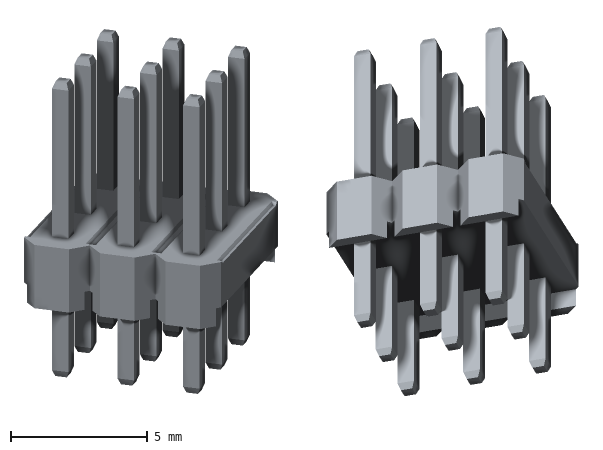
import cadquery as cq


columns = 3
rows = 3
pitch = 2.54

housing_width = columns * pitch
housing_depth = rows * pitch
corner_chamfer = 0.6

overall_height = 11.6
housing_height = 2.49
tail_length = 3.0
pin_top = overall_height - tail_length

foot_height = 0.71
foot_side_inset = 0.15
foot_depth = corner_chamfer - foot_side_inset

pin_size = 0.64
tip_inset = 0.1
tip_height = 0.25

groove_floor_width = 0.2
groove_floor_length = 6.0
groove_depth = 0.1


def grid_positions(count):
    """Centres of count cells spaced one pitch apart about zero."""
    return [(i - (count - 1) / 2) * pitch for i in range(count)]


def frustum(bottom_size, top_size, height):
    """Solid with a rectangular base at Z = 0 that changes evenly to another rectangle."""
    return (
        cq.Workplane("XY")
        .rect(*bottom_size)
        .workplane(offset=height)
        .rect(*top_size)
        .loft(ruled=True)
    )


def make_column(x):
    """One housing column: a full-depth octagonal block with its four upright corners chamfered."""
    return (
        cq.Workplane("XY")
        .box(pitch, housing_depth, housing_height, centered=(True, True, False))
        .edges("|Z")
        .chamfer(corner_chamfer)
        .translate((x, 0, 0))
    )


def make_underside_cutters():
    """Blocks that raise the underside, leaving two feet on every column."""
    between_feet = cq.Workplane("XY").box(
        housing_width, housing_depth - 2 * foot_depth, foot_height, centered=(True, True, False)
    )
    cutters = [between_feet]
    for i in range(columns + 1):
        channel = cq.Workplane("XY").box(
            2 * foot_side_inset, housing_depth, foot_height, centered=(True, True, False)
        )
        cutters.append(channel.translate((i * pitch - housing_width / 2, 0, 0)))
    return cutters


def make_groove_cutters():
    """Shallow grooves along the column boundaries; the outermost two are cut open at the sides."""
    floor_size = (groove_floor_width, groove_floor_length)
    mouth_size = (groove_floor_width + 2 * groove_depth, groove_floor_length + 2 * groove_depth)
    groove = frustum(floor_size, mouth_size, groove_depth)
    return [
        groove.translate((i * pitch - housing_width / 2, 0, housing_height - groove_depth))
        for i in range(columns + 1)
    ]


def make_pin():
    """Square pin with a tapered tip at each end."""
    shank_length = overall_height - 2 * tip_height
    full_size = (pin_size, pin_size)
    end_size = (pin_size - 2 * tip_inset, pin_size - 2 * tip_inset)
    shank = cq.Workplane("XY").box(*full_size, shank_length, centered=(True, True, False))
    upper_tip = frustum(full_size, end_size, tip_height)
    lower_tip = frustum(end_size, full_size, tip_height)
    return (
        shank.translate((0, 0, tip_height - tail_length))
        .union(upper_tip.translate((0, 0, pin_top - tip_height)))
        .union(lower_tip.translate((0, 0, -tail_length)))
    )


result = cq.Workplane("XY")
for column_x in grid_positions(columns):
    result = result.union(make_column(column_x))
result = result.clean()

for cutter in make_underside_cutters() + make_groove_cutters():
    result = result.cut(cutter)

pin = make_pin()
for pin_x in grid_positions(columns):
    for pin_y in grid_positions(rows):
        result = result.union(pin.translate((pin_x, pin_y, 0)))